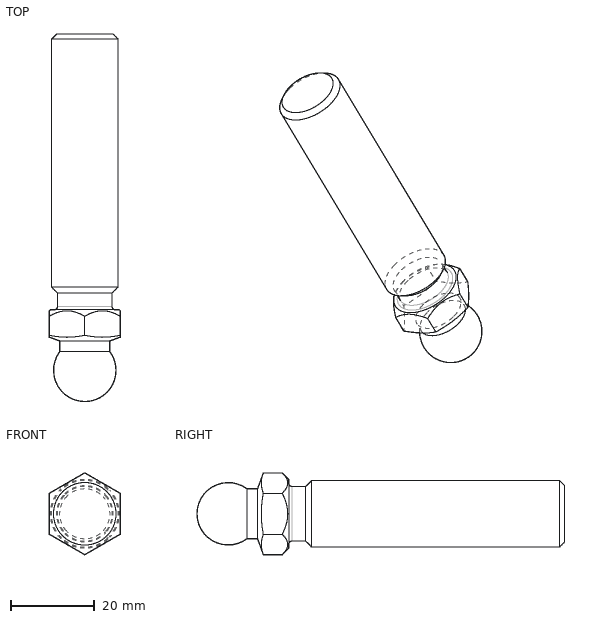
import cadquery as cq
import math

total_length = 88.0
ball_radius = 7.5
neck_radius = 6.0
relief_radius = 6.55
shank_radius = 8.0

hex_front = 7.0
hex_back = 14.5
shank_start = 18.5
shank_end = total_length - ball_radius
neck_start = math.sqrt(ball_radius**2 - neck_radius**2)

shank_start_chamfer = shank_radius - relief_radius
shank_end_chamfer = 1.25

hex_sides = 6
hex_across_flats = 17.0
hex_across_corners = hex_across_flats / math.cos(math.pi / hex_sides)
hex_front_angle = 20.0
hex_back_face_radius = 8.25
hex_back_angle = 45.0
relief_fillet = 0.8


def make_stem():
    """Ball, neck, relief and shank as one body turned about the Y axis."""
    fillet_mid_offset = relief_fillet * (1 - math.sqrt(0.5))
    profile = (
        cq.Workplane("XY")
        .moveTo(0, -ball_radius)
        .threePointArc((ball_radius, 0), (neck_radius, neck_start))
        .lineTo(neck_radius, hex_back)
        .lineTo(relief_radius + relief_fillet, hex_back)
        .threePointArc(
            (relief_radius + fillet_mid_offset, hex_back + fillet_mid_offset),
            (relief_radius, hex_back + relief_fillet),
        )
        .lineTo(relief_radius, shank_start)
        .lineTo(shank_radius, shank_start + shank_start_chamfer)
        .lineTo(shank_radius, shank_end - shank_end_chamfer)
        .lineTo(shank_radius - shank_end_chamfer, shank_end)
        .lineTo(0, shank_end)
        .close()
    )
    return profile.revolve(360, (0, 0, 0), (0, 1, 0))


def make_hexagon():
    """Hexagon with flats facing +X and -X, its corners turned to cones at both ends."""
    prism = (
        cq.Workplane("XZ", origin=(0, hex_back, 0))
        .transformed(rotate=(0, 0, 90))
        .polygon(hex_sides, hex_across_corners)
        .extrude(hex_back - hex_front)
    )
    corner_radius = hex_across_corners / 2
    front_rise = (corner_radius - neck_radius) * math.tan(math.radians(hex_front_angle))
    back_drop = (corner_radius - hex_back_face_radius) * math.tan(math.radians(hex_back_angle))
    turned_envelope = (
        cq.Workplane("XY")
        .moveTo(0, hex_front)
        .lineTo(neck_radius, hex_front)
        .lineTo(corner_radius, hex_front + front_rise)
        .lineTo(corner_radius, hex_back - back_drop)
        .lineTo(hex_back_face_radius, hex_back)
        .lineTo(0, hex_back)
        .close()
        .revolve(360, (0, 0, 0), (0, 1, 0))
    )
    return prism.intersect(turned_envelope)


result = make_stem().union(make_hexagon())